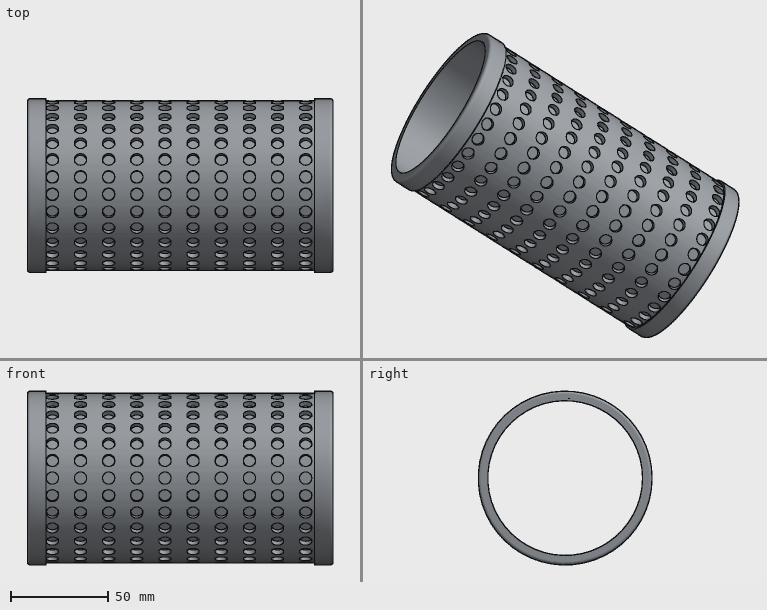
import cadquery as cq
import math

length = 157.2
bore_diameter = 79.4
sleeve_diameter = 87.4

collar_diameter = 89.5
collar_length = 9.6
rim_fillet = 1.5

pocket_diameter = 6.3
pocket_depth = 2.8
pockets_per_ring = 30
ring_count = 10
ring_pitch = 14.5
first_ring_offset = 12.9
pocket_overrun = 0.8


def cylinder(diameter, cylinder_length):
    """Solid cylinder about the X axis, centred on the origin."""
    return cq.Workplane("YZ").circle(diameter / 2).extrude(cylinder_length / 2, both=True)


def make_tube():
    """Bored sleeve with a collar at each end."""
    sleeve_length = length - 2 * collar_length
    collars = cylinder(collar_diameter, length).edges().fillet(rim_fillet)
    collars = collars.cut(cylinder(collar_diameter, sleeve_length))
    outside = collars.union(cylinder(sleeve_diameter, sleeve_length))
    return outside.cut(cylinder(bore_diameter, length))


def make_pocket(x, angle):
    """Radial pocket volume at position x, with the angle measured from -Y towards +Z."""
    outward = cq.Vector(0, -math.cos(angle), math.sin(angle))
    floor_center = cq.Vector(x, 0, 0) + outward * (sleeve_diameter / 2 - pocket_depth)
    return cq.Solid.makeCylinder(
        pocket_diameter / 2, pocket_depth + pocket_overrun, floor_center, outward
    )


def make_pockets():
    """All pocket volumes: equally spaced rings along the sleeve."""
    pockets = []
    for ring in range(ring_count):
        x = -length / 2 + first_ring_offset + ring * ring_pitch
        for position in range(pockets_per_ring):
            angle = 2 * math.pi * position / pockets_per_ring
            pockets.append(make_pocket(x, angle))
    return cq.Workplane(cq.Compound.makeCompound(pockets))


result = make_tube().cut(make_pockets())